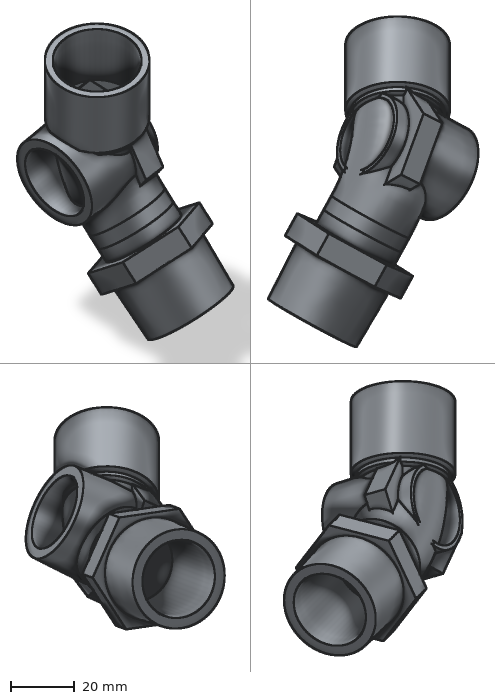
import cadquery as cq
import math


STUB_LENGTH = 5.0
STUB_DIAMETER = 28.0
HEX_THICKNESS = 8.0
HEX_ACROSS_FLATS = 36.0
HEX_ACROSS_CORNERS = HEX_ACROSS_FLATS / math.cos(math.radians(30))
THREAD_LENGTH = 20.0
THREAD_BASE_DIAMETER = 33.0
THREAD_TAPER = 1 / 16
THREAD_END_DIAMETER = THREAD_BASE_DIAMETER - THREAD_TAPER * THREAD_LENGTH
NIPPLE_BORE = 25.0

TUBE_DIAMETER = 28.0
NECK_DIAMETER = 30.0
SOCKET_DIAMETER = 33.0
SOCKET_BORE = 28.0
SOCKET_TOP = 39.4
SOCKET_BOTTOM = 14.7
SOCKET_FLOOR = 16.7
NECK_TOP = 13.7
NECK_BOTTOM = 12.3
NECK_CONE_END = NECK_BOTTOM - (NECK_DIAMETER - TUBE_DIAMETER) / 2
BEND_ANGLE = 45.0
BEND_RADIUS = 43.0

SPACER_LENGTH = 5.0

BEND_RADIANS = math.radians(BEND_ANGLE)
LEG_DIRECTION = cq.Vector(math.sin(BEND_RADIANS), 0, -math.cos(BEND_RADIANS))
LEG_ACROSS = cq.Vector(math.cos(BEND_RADIANS), 0, math.sin(BEND_RADIANS))
BEND_END = cq.Vector(
    BEND_RADIUS * (1 - math.cos(BEND_RADIANS)),
    0,
    NECK_CONE_END - BEND_RADIUS * math.sin(BEND_RADIANS),
)


def leg_plane(distance):
    """Plane across the leg, at a distance along its axis from the end of the bend."""
    return cq.Plane(BEND_END + LEG_DIRECTION * distance, LEG_ACROSS, LEG_DIRECTION)


def make_nipple(plane):
    """Bored nipple along the plane's normal; the thread starts at the plane's origin."""
    half_profile = [
        (0, -HEX_THICKNESS - STUB_LENGTH),
        (STUB_DIAMETER / 2, -HEX_THICKNESS - STUB_LENGTH),
        (STUB_DIAMETER / 2, -HEX_THICKNESS),
        (THREAD_BASE_DIAMETER / 2, -HEX_THICKNESS),
        (THREAD_BASE_DIAMETER / 2, 0),
        (THREAD_END_DIAMETER / 2, THREAD_LENGTH),
        (0, THREAD_LENGTH),
    ]
    round_body = cq.Workplane("XZ").polyline(half_profile).close().revolve(360, (0, 0), (0, 1))
    hexagon = cq.Workplane("XY").polygon(6, HEX_ACROSS_CORNERS).extrude(-HEX_THICKNESS)
    bore = (
        cq.Workplane("XY", origin=(0, 0, -HEX_THICKNESS - STUB_LENGTH))
        .circle(NIPPLE_BORE / 2)
        .extrude(STUB_LENGTH + HEX_THICKNESS + THREAD_LENGTH)
    )
    nipple = round_body.union(hexagon).cut(bore)
    return nipple.val().Solids()[0].moved(cq.Location(plane))


def make_elbow():
    """Socket with a flat floor, stepping down two cones to a solid bent tube."""
    tube_radius = TUBE_DIAMETER / 2
    neck_radius = NECK_DIAMETER / 2
    socket_radius = SOCKET_DIAMETER / 2
    half_profile = [
        (0, NECK_CONE_END),
        (tube_radius, NECK_CONE_END),
        (neck_radius, NECK_BOTTOM),
        (neck_radius, NECK_TOP),
        (socket_radius, SOCKET_BOTTOM),
        (socket_radius, SOCKET_TOP),
        (SOCKET_BORE / 2, SOCKET_TOP),
        (SOCKET_BORE / 2, SOCKET_FLOOR),
        (0, SOCKET_FLOOR),
    ]
    socket = cq.Workplane("XZ").polyline(half_profile).close().revolve(360, (0, 0), (0, 1))
    bend = (
        cq.Workplane("XY", origin=(0, 0, NECK_CONE_END))
        .circle(tube_radius)
        .revolve(BEND_ANGLE, (BEND_RADIUS, 0), (BEND_RADIUS, -1))
    )
    return socket.union(bend)


cross_plane = cq.Plane((0, 0, 0), (1, 0, 0), (0, -1, 0))
leg_thread_start = SPACER_LENGTH + STUB_LENGTH + HEX_THICKNESS
nipples = [make_nipple(plane) for plane in (cross_plane, leg_plane(leg_thread_start))]

elbow = make_elbow().cut(cq.Workplane(nipples[0]))

spacer = cq.Workplane(leg_plane(0)).circle(TUBE_DIAMETER / 2).extrude(SPACER_LENGTH)

result = cq.Compound.makeCompound([*elbow.val().Solids(), spacer.val(), *nipples])